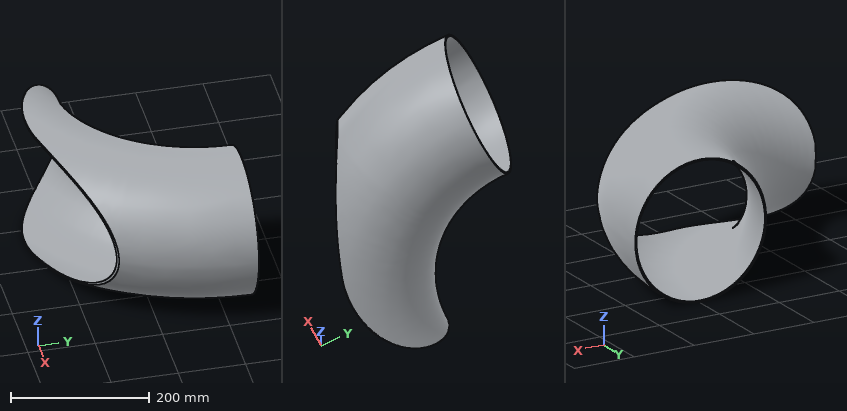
import cadquery as cq
import math

TUBE_DIAMETER = 219.5
TUBE_RADIUS = TUBE_DIAMETER / 2
WALL = 2.6
OUTER_REACH = 414.5
BEND_RADIUS = OUTER_REACH - TUBE_RADIUS
BEND_ANGLE = 90.0

NOSE_RADIUS = 156.3
NOSE_X = 140.0
NOSE_Y = -128.0
FLANK_RADIUS = 823.5
BLEND_ANGLE = 17.6
FLANK_END_ANGLE = 36.0


def point_on_arc(center, radius, angle):
    """Point of a circle at an angle in degrees, from -Y towards +X."""
    turn = math.radians(angle)
    return (center[0] + radius * math.sin(turn), center[1] - radius * math.cos(turn))


def make_bend():
    """Thin tube swept a quarter turn about Z, from the +X side to the -Y side."""
    return (
        cq.Workplane("XZ")
        .center(BEND_RADIUS, 0)
        .circle(TUBE_RADIUS)
        .circle(TUBE_RADIUS - WALL)
        .revolve(BEND_ANGLE, (-BEND_RADIUS, 0), (-BEND_RADIUS, -1))
    )


def make_trim_envelope():
    """Prism along Z that holds the part of the bend to keep."""
    nose_center = (NOSE_X, NOSE_Y)
    flank_center = point_on_arc(nose_center, NOSE_RADIUS - FLANK_RADIUS, BLEND_ANGLE)

    nose_start_angle = -math.degrees(math.asin(NOSE_X / NOSE_RADIUS))
    nose_middle_angle = (nose_start_angle + BLEND_ANGLE) / 2
    flank_middle_angle = (BLEND_ANGLE + FLANK_END_ANGLE) / 2

    nose_start = point_on_arc(nose_center, NOSE_RADIUS, nose_start_angle)
    nose_middle = point_on_arc(nose_center, NOSE_RADIUS, nose_middle_angle)
    blend = point_on_arc(nose_center, NOSE_RADIUS, BLEND_ANGLE)
    flank_middle = point_on_arc(flank_center, FLANK_RADIUS, flank_middle_angle)
    flank_end = point_on_arc(flank_center, FLANK_RADIUS, FLANK_END_ANGLE)

    return (
        cq.Workplane("XY")
        .moveTo(0, 0)
        .lineTo(*nose_start)
        .threePointArc(nose_middle, blend)
        .threePointArc(flank_middle, flank_end)
        .lineTo(flank_end[0], 0)
        .close()
        .extrude(TUBE_DIAMETER, both=True)
    )


result = make_bend().intersect(make_trim_envelope())